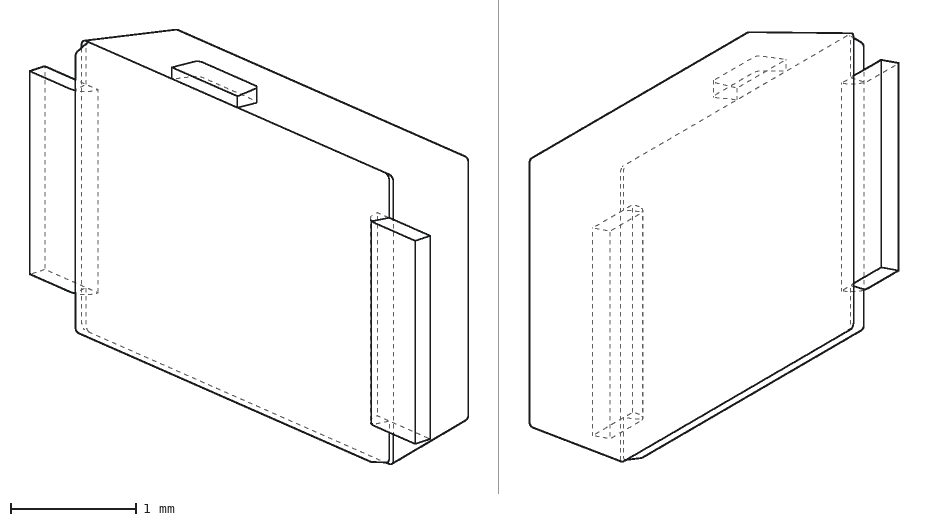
import cadquery as cq
import math

overall_length = 4.7
overall_depth = 1.07
lead_thickness = 0.16
edge_radius = 0.05

housing_length = 3.8
housing_height = 2.5
parting_step = 0.05
back_draft = 7.0
front_draft = 13.0
front_length = housing_length - 2 * parting_step
back_depth = overall_depth - lead_thickness

lead_width = 1.755
lead_bend_radius = lead_thickness
lead_flat_end = 1.86

tab_left = -0.8
tab_width = 0.8
tab_depth = 0.255
tab_rise = 0.1
tab_draft = 7.0
tab_corner_radius = 0.05


def moulded_half(length, depth, direction, draft):
    """Drafted, rounded block growing from the parting plane along Y * direction."""
    parting_plane = cq.Plane(origin=(0, lead_thickness, 0), xDir=(1, 0, 0), normal=(0, direction, 0))
    block = cq.Workplane(parting_plane).rect(length, housing_height).extrude(depth, taper=draft)
    parting_face = "<Y" if direction > 0 else ">Y"
    parting_edges = block.faces(parting_face).edges().vals()
    moulded_edges = [
        edge for edge in block.edges().vals()
        if not any(edge.isSame(parting_edge) for parting_edge in parting_edges)
    ]
    return block.newObject(moulded_edges).fillet(edge_radius)


def make_housing():
    """Two drafted halves joined at the parting plane; the front half is shorter."""
    back_half = moulded_half(housing_length, back_depth, 1, back_draft)
    front_half = moulded_half(front_length, lead_thickness, -1, front_draft)
    return back_half.union(front_half)


def make_lead(side):
    """Flat strip, level with the front face, that curves back inside the housing."""
    tip = side * overall_length / 2
    bend_start = side * lead_flat_end
    bend_end = side * (lead_flat_end - lead_bend_radius)
    middle_angle = math.radians(45)
    arc_middle = (
        bend_start - side * lead_bend_radius * math.sin(middle_angle),
        lead_bend_radius * (1 - math.cos(middle_angle)),
    )
    return (
        cq.Workplane("XY")
        .moveTo(tip, 0)
        .lineTo(bend_start, 0)
        .threePointArc(arc_middle, (bend_end, lead_thickness))
        .lineTo(tip, lead_thickness)
        .close()
        .extrude(lead_width / 2, both=True)
    )


def make_tab(housing):
    """Small block standing on the sloping top side of the housing."""
    inset = tab_depth * math.tan(math.radians(tab_draft))
    tab_right = tab_left + tab_width
    tab_back = lead_thickness + tab_depth
    block = (
        cq.Workplane("XY")
        .polyline([
            (tab_left, lead_thickness),
            (tab_right, lead_thickness),
            (tab_right - inset, tab_back),
            (tab_left + inset, tab_back),
        ])
        .close()
        .extrude(housing_height / 2 + tab_rise)
        .edges(">Y and |Z")
        .fillet(tab_corner_radius)
    )
    return block.cut(housing)


full_housing = make_housing()
tab = make_tab(full_housing)
leads = [make_lead(side) for side in (-1, 1)]

housing = full_housing
for lead in leads:
    housing = housing.cut(lead)

bodies = [housing, tab, *leads]
result = cq.Compound.makeCompound([body.solids().val() for body in bodies])